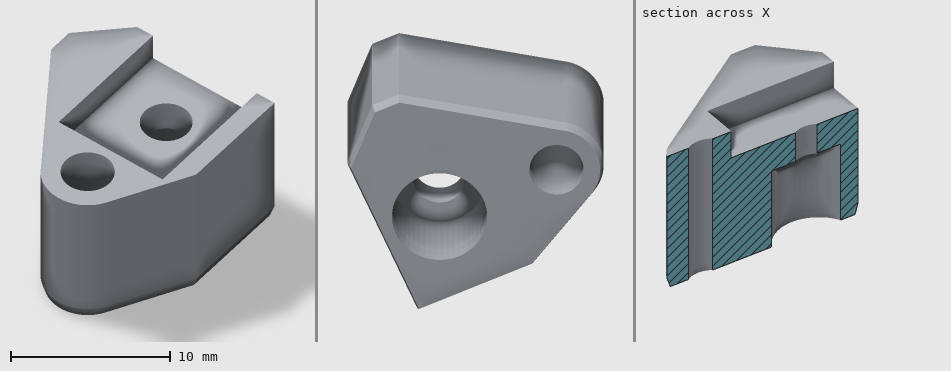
import cadquery as cq
import math

width = 13.9
length = 14.89
height = 10.0
nose_radius = 2.95
right_x = 5.51
left_x = right_x - width
back_y = length - nose_radius

left_corner_y = 7.07
right_corner_y = 3.96
back_corner_cut = 3.04

nose_left_x = -2.56
nose_right_x = 2.59

taper_height = 0.76
taper_inset = 0.22

recess_width = 8.22
recess_front_y = 2.34
recess_depth = 2.0

nose_hole_diameter = 3.4
recess_hole_diameter = 3.3
recess_hole_y = 8.0

counterbore_diameter = 5.95
counterbore_depth = 5.78


def nose_point(x):
    """Point on the nose circle at x, on the half that holds the tip."""
    return x, -math.sqrt(nose_radius**2 - x**2)


def make_body():
    outline = (
        cq.Workplane("XY")
        .moveTo(*nose_point(nose_right_x))
        .lineTo(right_x, right_corner_y)
        .lineTo(right_x, back_y)
        .lineTo(left_x + back_corner_cut, back_y)
        .lineTo(left_x, back_y - back_corner_cut)
        .lineTo(left_x, left_corner_y)
        .lineTo(*nose_point(nose_left_x))
        .threePointArc((0, -nose_radius), nose_point(nose_right_x))
        .close()
    )
    block = outline.extrude(height)
    return block.faces("<Z").chamfer(taper_height, taper_inset)


def make_recess():
    return (
        cq.Workplane("XY")
        .workplane(offset=height - recess_depth)
        .moveTo(-recess_width / 2, recess_front_y)
        .rect(recess_width, back_y - recess_front_y, centered=False)
        .extrude(recess_depth)
    )


def make_hole(y, diameter, depth):
    return cq.Workplane("XY").center(0, y).circle(diameter / 2).extrude(depth)


result = (
    make_body()
    .cut(make_recess())
    .cut(make_hole(0, nose_hole_diameter, height))
    .cut(make_hole(recess_hole_y, recess_hole_diameter, height))
    .cut(make_hole(recess_hole_y, counterbore_diameter, counterbore_depth))
)